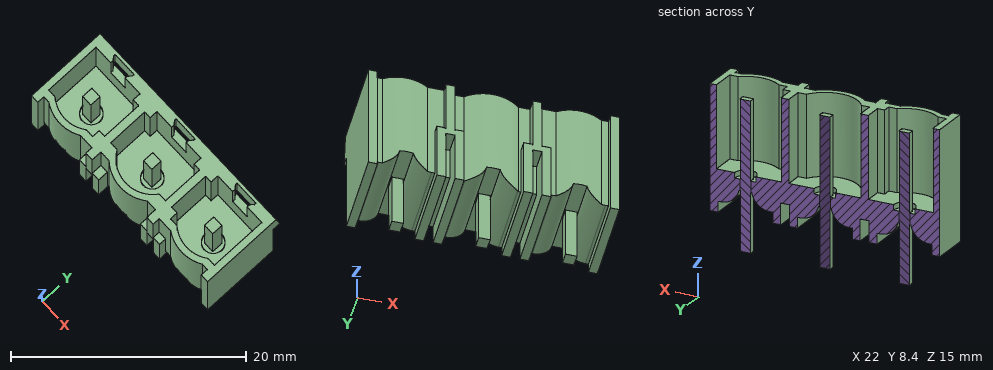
import cadquery as cq


pole_count = 3
pitch = 7.62
pole_y = 3.8
pole_xs = [(i - (pole_count - 1) / 2) * pitch for i in range(pole_count)]
partition_xs = [x + pitch / 2 for x in pole_xs[:-1]]

housing_width = 22.04
housing_height = 11.75
back_y = 7.6
half_width = housing_width / 2

lip_top_y = 7.95
lip_tip_y = 8.4
lip_height = 3.1

end_wall_y = 0.7
middle_wall_y = 1.0
bulge_centre_y = 3.85
bulge_radius = 3.72

leg_width = 0.8
rib_width = 0.8
leg_height = 6.2
slot_top = 5.5
slot_depth = 1.8
slot_back_bottom = 2.0

channel_edge_z = 1.0
channel_top_z = 2.4
channel_top_width = 1.2
channel_edge_radius = 1.77

floor_z = 4.0
socket_half_width = 2.75
ear_half_width = 3.43
socket_front_y = 1.4
socket_back_y = 6.88
ear_front_y = 2.16
ear_back_y = 6.1
socket_bulge_radius = 3.13

key_back_y = 7.65
key_wide_y = 7.47
key_neck_y = 7.13
key_wide_width = 2.36
key_neck_width = 1.8
key_floor_z = 7.68

pin_width = 1.02
pin_depth = 1.06
pin_bottom_z = -3.2
pin_top_z = 10.88
recess_diameter = 2.0
recess_depth = 0.5


def block(x0, x1, y0, y1, z0, z1):
    """Box given by its limits along each axis."""
    return cq.Workplane("XY").box(x1 - x0, y1 - y0, z1 - z0, centered=False).translate((x0, y0, z0))


def upright_cylinder(x, radius, z0, z1):
    """Vertical cylinder on the axis of a pole."""
    return cq.Workplane("XY", origin=(x, pole_y, z0)).circle(radius).extrude(z1 - z0)


def make_bulge(x, radius, chord_y, z0, z1):
    """Upright circular segment in front of a chord."""
    tip_y = bulge_centre_y - radius
    half_chord = (radius**2 - (bulge_centre_y - chord_y) ** 2) ** 0.5
    segment = (
        cq.Workplane("XY", origin=(x, 0, z0))
        .moveTo(-half_chord, chord_y)
        .threePointArc((0, tip_y), (half_chord, chord_y))
        .close()
    )
    return segment.extrude(z1 - z0)


def make_shell():
    """Solid side profile with the latch lip, set back to the front wall."""
    lip_z = housing_height - lip_height
    profile = [
        (middle_wall_y, 0),
        (back_y, 0),
        (back_y, lip_z),
        (lip_tip_y, lip_z),
        (lip_top_y, housing_height),
        (middle_wall_y, housing_height),
    ]
    shell = cq.Workplane("YZ", origin=(-half_width, 0, 0)).polyline(profile).close().extrude(housing_width)
    for x in pole_xs:
        shell = shell.union(make_bulge(x, bulge_radius, middle_wall_y, 0, housing_height))
    first, last = partition_xs[0], partition_xs[-1]
    for x0, x1 in [(-half_width, first), (last, half_width)]:
        shell = shell.union(block(x0, x1, end_wall_y, pole_y, 0, housing_height))
    return shell


def add_front_legs(shell):
    """End legs at full height, and a rib widening into two legs at each partition."""
    for x0 in [-half_width, half_width - leg_width]:
        shell = shell.union(block(x0, x0 + leg_width, 0, pole_y, 0, housing_height))
    for x in partition_xs:
        half_pair = rib_width / 2 + leg_width
        shell = shell.union(block(x - rib_width / 2, x + rib_width / 2, 0, pole_y, 0, housing_height))
        shell = shell.union(block(x - half_pair, x + half_pair, 0, pole_y, 0, leg_height))
    return shell


def make_leg_slot(x):
    """Slot between two legs: tall at the front, low from front to back."""
    tall = block(x - rib_width / 2, x + rib_width / 2, 0, slot_depth, 0, slot_top)
    low = block(x - rib_width / 2, x + rib_width / 2, 0, back_y, 0, slot_back_bottom)
    return tall.union(low)


def make_channel(x, left, right):
    """Arched channel under a pole, open at the front and the back."""
    half_top = channel_top_width / 2
    rise = channel_top_z - channel_edge_z
    run = (channel_edge_radius**2 - (channel_edge_radius - rise) ** 2) ** 0.5
    half_flat = half_top + run
    return (
        cq.Workplane("XZ")
        .moveTo(left, 0)
        .lineTo(left, channel_edge_z)
        .lineTo(x - half_flat, channel_edge_z)
        .radiusArc((x - half_top, channel_top_z), -channel_edge_radius)
        .lineTo(x + half_top, channel_top_z)
        .radiusArc((x + half_flat, channel_edge_z), -channel_edge_radius)
        .lineTo(right, channel_edge_z)
        .lineTo(right, 0)
        .close()
        .extrude(-back_y)
    )


def make_socket(x, left_ear, right_ear):
    """Socket cavity: ears face the neighbouring poles, with a keyway at the back."""
    top = housing_height
    front_y = ear_front_y if left_ear and right_ear else socket_front_y
    socket = block(x - socket_half_width, x + socket_half_width, front_y, socket_back_y, floor_z, top)
    if left_ear:
        socket = socket.union(block(x - ear_half_width, x, ear_front_y, ear_back_y, floor_z, top))
    if right_ear:
        socket = socket.union(block(x, x + ear_half_width, ear_front_y, ear_back_y, floor_z, top))
    socket = socket.union(make_bulge(x, socket_bulge_radius, front_y, floor_z, top))
    return socket.union(make_keyway(x))


def make_keyway(x):
    """Dovetail keyway, which breaks through the back wall below the lip."""
    half_wide = key_wide_width / 2
    half_neck = key_neck_width / 2
    outline = [
        (x - half_neck, socket_back_y),
        (x - half_neck, key_neck_y),
        (x - half_wide, key_wide_y),
        (x - half_wide, key_back_y),
        (x + half_wide, key_back_y),
        (x + half_wide, key_wide_y),
        (x + half_neck, key_neck_y),
        (x + half_neck, socket_back_y),
    ]
    keyway = cq.Workplane("XY", origin=(0, 0, key_floor_z)).polyline(outline).close()
    return keyway.extrude(housing_height - key_floor_z)


def make_pin(x):
    """Straight rectangular contact pin."""
    pin = cq.Workplane("XY", origin=(x, pole_y, pin_bottom_z)).rect(pin_width, pin_depth)
    return pin.extrude(pin_top_z - pin_bottom_z)


def make_housing():
    """Housing with sockets, underside channels and holes matching the pins."""
    housing = add_front_legs(make_shell())
    for x in partition_xs:
        housing = housing.cut(make_leg_slot(x))
    for i, x in enumerate(pole_xs):
        has_left = i > 0
        has_right = i < pole_count - 1
        inner_reach = pitch / 2 - rib_width / 2 - leg_width
        outer_reach = half_width - pole_xs[-1] - leg_width
        left = x - (inner_reach if has_left else outer_reach)
        right = x + (inner_reach if has_right else outer_reach)
        housing = housing.cut(make_channel(x, left, right))
        housing = housing.cut(make_socket(x, has_left, has_right))
        housing = housing.cut(upright_cylinder(x, recess_diameter / 2, floor_z - recess_depth, floor_z))
        housing = housing.cut(make_pin(x))
    return housing


housing = make_housing()
pins = [make_pin(x) for x in pole_xs]

result = cq.Compound.makeCompound([housing.val(), *[pin.val() for pin in pins]])